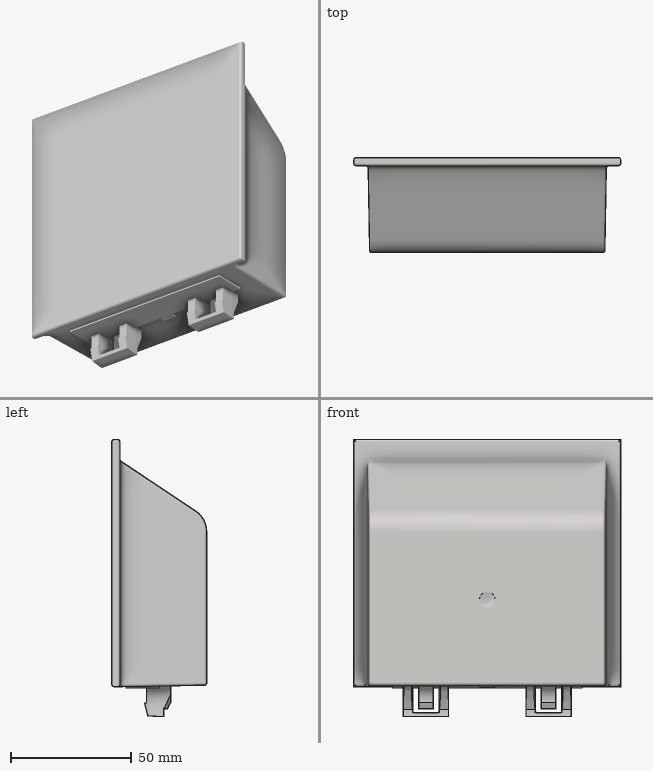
import cadquery as cq
import math


flange_width = 111.1
flange_height = 102.9
flange_thick = 3.5
edge_radius = 1.0

hood_depth = 39.6
hood_width = 99.2
draft_angle = 1.0
roof_root_height = 94.1
roof_angle = 33.7
crest_radius = 10.5

dimple_radius = 3.2
dimple_depth = 0.6
dimple_height = 36.2

pad_width = 78.9
pad_back_depth = 5.9
pad_front_depth = 19.8
pad_drop = 0.6
rib_width = 6.0
rib_front_depth = 23.1
rib_drop = 0.3

clip_spacing = 51.0
clip_width = 18.9
clip_drop = 12.5
clip_back_depth = 14.4
clip_front_depth = 24.6
leg_width = 4.0
leg_narrow_width = 3.3
parting_depth = 20.1
crossbar_height = 1.7
crossbar_front_depth = 21.7
slope_start_drop = 3.1
slope_end_drop = 9.3
slope_blend_radius = 4.4
window_corner_radius = 0.5
clip_side_draft = 0.2
clip_bottom_draft = 0.3
barb_reach = 0.8
barb_drop = 6.7
barb_end_drop = 11.8
barb_end_depth = 14.9
tongue_width = 6.1
tongue_drop = 9.2
tongue_back_depth = 21.8
tongue_chamfer_depth = 1.4
tongue_chamfer_height = 2.8

embed = 1.7
pick_tolerance = 0.01


def box_between(width, back_depth, front_depth, bottom, top):
    """Box centred on X = 0 between two depths and two heights."""
    return cq.Workplane("XY").box(width, front_depth - back_depth, top - bottom).translate(
        (0, -(back_depth + front_depth) / 2, (bottom + top) / 2)
    )


def make_flange():
    plate = box_between(flange_width, 0, flange_thick, 0, flange_height)
    return plate.edges("<Y or >Y").fillet(edge_radius)


def roof_height(depth):
    """Height of the flat roof plane at a given depth."""
    return roof_root_height - (depth - flange_thick) * math.tan(math.radians(roof_angle))


def make_hood():
    drafted = (
        cq.Workplane("XZ", origin=(0, -flange_thick, flange_height / 2))
        .rect(hood_width, flange_height)
        .extrude(hood_depth - flange_thick, taper=draft_angle)
    )
    below_roof = (
        cq.Workplane("YZ")
        .moveTo(-flange_thick, -embed)
        .lineTo(-flange_thick, roof_height(flange_thick))
        .lineTo(-hood_depth, roof_height(hood_depth))
        .lineTo(-hood_depth, -embed)
        .close()
        .extrude(hood_width / 2, both=True)
    )
    hood = drafted.intersect(below_roof)
    crest = cq.NearestToPointSelector((0, -hood_depth, roof_height(hood_depth)))
    hood = hood.edges(crest).fillet(crest_radius)
    side_edges = hood.faces("<X or >X").edges("not >Y")
    bottom_front_edge = hood.faces("<Y").edges("<Z")
    return side_edges.add(bottom_front_edge).fillet(edge_radius)


def make_dimple_cutter():
    sphere_radius = (dimple_radius**2 + dimple_depth**2) / (2 * dimple_depth)
    centre_depth = hood_depth - dimple_depth + sphere_radius
    return cq.Workplane("XY").sphere(sphere_radius).translate((0, -centre_depth, dimple_height))


def make_body():
    """Flange and hood blended by a root fillet that is trimmed flush with the flange's lower edge."""
    backing = box_between(2 * flange_width, 0, flange_thick, -flange_height, 2 * flange_height)
    blended = backing.union(make_hood())
    root_zone = cq.selectors.BoxSelector(
        (-hood_width, -flange_thick - pick_tolerance, -embed),
        (hood_width, -flange_thick + pick_tolerance, flange_height),
    )
    blended = blended.edges(root_zone).fillet(edge_radius)
    hood_zone = box_between(
        hood_width + 2 * edge_radius,
        flange_thick - edge_radius,
        hood_depth,
        0,
        flange_height - 2 * edge_radius,
    )
    return blended.intersect(make_flange().union(hood_zone))


def make_pad():
    pad = box_between(pad_width, pad_back_depth, pad_front_depth, -pad_drop, embed)
    rib = box_between(rib_width, pad_front_depth - embed, rib_front_depth, -rib_drop, embed)
    return pad.union(rib)


def make_clip_frame():
    frame = (
        cq.Workplane("YZ")
        .moveTo(-clip_back_depth, embed)
        .lineTo(-clip_front_depth, embed)
        .lineTo(-clip_front_depth, -slope_start_drop)
        .lineTo(-crossbar_front_depth, -slope_end_drop)
        .lineTo(-crossbar_front_depth, -clip_drop)
        .lineTo(-parting_depth, -clip_drop)
        .lineTo(-barb_end_depth, clip_bottom_draft - clip_drop)
        .lineTo(-barb_end_depth, -barb_end_drop)
        .lineTo(barb_reach - clip_back_depth, -barb_drop)
        .lineTo(-clip_back_depth, -barb_drop)
        .close()
        .extrude(clip_width / 2, both=True)
    )
    slope_top = cq.NearestToPointSelector((0, -clip_front_depth, -slope_start_drop))
    frame = frame.edges(slope_top).fillet(slope_blend_radius)

    parting_half = clip_width / 2
    end_half = parting_half - clip_side_draft
    barb_depth = clip_back_depth - barb_reach
    outline = (
        cq.Workplane("XY", origin=(0, 0, -clip_drop))
        .polyline(
            [
                (-end_half, -barb_depth),
                (-parting_half, -parting_depth),
                (-end_half, -clip_front_depth),
                (end_half, -clip_front_depth),
                (parting_half, -parting_depth),
                (end_half, -barb_depth),
            ]
        )
        .close()
        .extrude(clip_drop + embed)
    )

    gap_half = clip_width / 2 - leg_width
    gap_front_half = clip_width / 2 - leg_narrow_width
    window_bottom = crossbar_height - clip_drop
    window = (
        cq.Workplane("XY", origin=(0, 0, window_bottom))
        .polyline(
            [
                (-gap_half, 0),
                (-gap_half, -parting_depth),
                (-gap_front_half, -clip_front_depth),
                (gap_front_half, -clip_front_depth),
                (gap_half, -parting_depth),
                (gap_half, 0),
            ]
        )
        .close()
        .extrude(clip_drop)
        .edges("|Y and <Z")
        .fillet(window_corner_radius)
    )
    return frame.intersect(outline).cut(window)


def make_tongue():
    return (
        box_between(tongue_width, tongue_back_depth, clip_front_depth, -tongue_drop, embed)
        .edges("<Y and <Z")
        .chamfer(tongue_chamfer_height, tongue_chamfer_depth)
    )


body = make_body().cut(make_dimple_cutter()).union(make_pad())
clip = make_clip_frame().union(make_tongue())
for side in (-1, 1):
    body = body.union(clip.translate((side * clip_spacing / 2, 0, 0)))
result = body